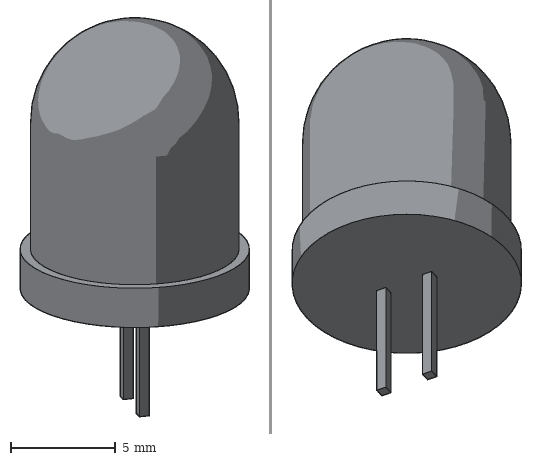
import cadquery as cq

total_height = 19.5

flange_diameter = 11.0
flange_height = 2.0
lens_diameter = 10.0

lead_length = 6.0
lead_width = 0.5
lead_pitch = 2.54

flange_radius = flange_diameter / 2
lens_radius = lens_diameter / 2
lens_top = total_height - lead_length
dome_base = lens_top - lens_radius


def make_lens():
    """Revolve the half profile of flange, wall and dome about the Z axis."""
    dome_mid_offset = lens_radius * 0.5 ** 0.5
    return (
        cq.Workplane("XZ")
        .lineTo(flange_radius, 0)
        .lineTo(flange_radius, flange_height)
        .lineTo(lens_radius, flange_height)
        .lineTo(lens_radius, dome_base)
        .threePointArc((dome_mid_offset, dome_base + dome_mid_offset), (0, lens_top))
        .close()
        .revolve(360, (0, 0), (0, 1))
    )


def make_lead(x_position):
    """Square lead hanging from the underside of the flange."""
    return (
        cq.Workplane("XY")
        .center(x_position, 0)
        .rect(lead_width, lead_width)
        .extrude(-lead_length)
    )


lens = make_lens()
leads = [make_lead(side * lead_pitch / 2) for side in (-1, 1)]

result = cq.Compound.makeCompound([lens.val(), *[lead.val() for lead in leads]])